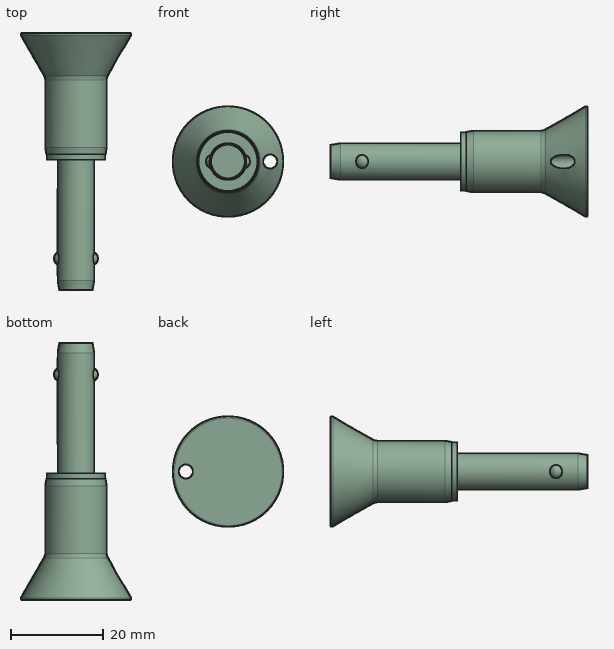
import cadquery as cq
import math


shank_radius = 4.0
shank_length = 28.2
tip_length = 2.1
tip_end_radius = 3.63

ball_radius = 1.5
ball_protrusion = 0.8
ball_to_tip = 6.85

collar_radius = 6.37
collar_length = 1.25
taper_end_radius = 6.45
taper_length = 1.5
grip_radius = 6.7

handle_length = 27.5
head_radius = 12.0
rim_radius = 0.35
flare_angle = math.radians(30)
neck_fillet_radius = 2.0

lanyard_hole_diameter = 3.0
lanyard_hole_offset = 9.15


def make_body():
    """Revolved profile, drawn as (radius, Y) and turned about the Y axis."""
    grip_start_y = collar_length + taper_length

    rim_center_r = head_radius - rim_radius
    rim_center_y = handle_length - rim_radius
    rim_end = (
        rim_center_r + rim_radius * math.cos(flare_angle),
        rim_center_y - rim_radius * math.sin(flare_angle),
    )

    neck_end_r = grip_radius + neck_fillet_radius * (1 - math.cos(flare_angle))
    neck_end_y = rim_end[1] - (rim_end[0] - neck_end_r) / math.tan(flare_angle)
    neck_start_y = neck_end_y - neck_fillet_radius * math.sin(flare_angle)

    return (
        cq.Workplane("XY")
        .moveTo(0, -shank_length)
        .lineTo(tip_end_radius, -shank_length)
        .lineTo(shank_radius, tip_length - shank_length)
        .lineTo(shank_radius, 0)
        .lineTo(collar_radius, 0)
        .lineTo(collar_radius, collar_length)
        .lineTo(taper_end_radius, collar_length)
        .lineTo(grip_radius, grip_start_y)
        .lineTo(grip_radius, neck_start_y)
        .radiusArc((neck_end_r, neck_end_y), neck_fillet_radius)
        .lineTo(*rim_end)
        .radiusArc((rim_center_r, handle_length), -rim_radius)
        .lineTo(0, handle_length)
        .close()
        .revolve(360, (0, 0, 0), (0, 1, 0))
    )


def make_ball(side):
    """Locking ball standing out of the shank on the +X or -X side."""
    center_x = side * (shank_radius + ball_protrusion - ball_radius)
    center_y = ball_to_tip - shank_length
    return cq.Workplane("XY").sphere(ball_radius).translate((center_x, center_y, 0))


def make_lanyard_hole():
    """Cutter for the hole through the flare, parallel to the pin axis."""
    return (
        cq.Workplane("XZ")
        .center(lanyard_hole_offset, 0)
        .circle(lanyard_hole_diameter / 2)
        .extrude(-handle_length)
    )


result = make_body()
for side in (-1, 1):
    result = result.union(make_ball(side))
result = result.cut(make_lanyard_hole())